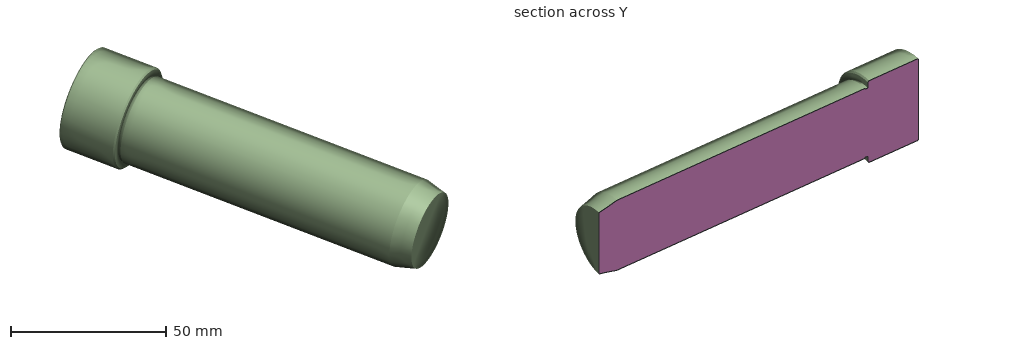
import cadquery as cq
import math

total_length = 125.0
head_length = 20.0
head_diameter = 35.0
head_chamfer = 0.5
shank_diameter = 30.0

relief_length = 1.0
relief_depth = 0.4

lead_length = 7.0
lead_angle = 15.0

head_radius = head_diameter / 2
shank_radius = shank_diameter / 2
tip_radius = shank_radius - lead_length * math.tan(math.radians(lead_angle))

profile = (
    cq.Workplane("XY")
    .moveTo(0, 0)
    .lineTo(0, head_radius - head_chamfer)
    .lineTo(head_chamfer, head_radius)
    .lineTo(head_length - head_chamfer, head_radius)
    .lineTo(head_length, head_radius - head_chamfer)
    .lineTo(head_length, shank_radius - relief_depth)
    .lineTo(head_length + relief_length, shank_radius - relief_depth)
    .lineTo(head_length + relief_length, shank_radius)
    .lineTo(total_length - lead_length, shank_radius)
    .lineTo(total_length, tip_radius)
    .lineTo(total_length, 0)
    .close()
)

result = profile.revolve(360, (0, 0, 0), (1, 0, 0))